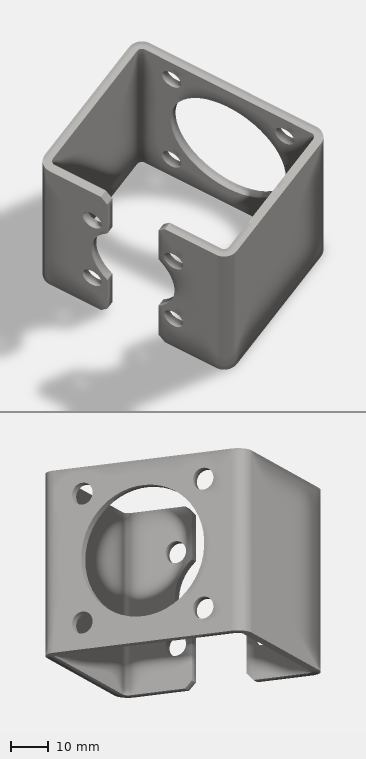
import cadquery as cq
import math

width = 60.0
depth = 50.0
height = 50.0

sheet_thickness = 2.5
bend_outer_radius = 4.0
bend_inner_radius = bend_outer_radius - sheet_thickness

gap_width = 16.0
flange_corner_chamfer = 2.0

front_bore_diameter = 26.0
back_bore_diameter = 36.0

screw_hole_diameter = 6.0
front_bolt_circle_diameter = 36.0
back_bolt_circle_diameter = 50.0

front_wall_y = -depth / 2
back_wall_y = depth / 2 - sheet_thickness


def rounded_block(size_x, size_y, corner_radius):
    """Full-height block with rounded vertical edges, centred on the origin."""
    return cq.Workplane("XY").box(size_x, size_y, height).edges("|Z").fillet(corner_radius)


def folded_sheet():
    """Rectangular tube of constant wall thickness with rounded bends."""
    outer = rounded_block(width, depth, bend_outer_radius)
    inner = rounded_block(
        width - 2 * sheet_thickness,
        depth - 2 * sheet_thickness,
        bend_inner_radius,
    )
    return outer.cut(inner)


def wall_plane(wall_y):
    """Sketch plane on the -Y side of a wall; its normal points toward -Y."""
    return cq.Workplane("XZ", origin=(0, wall_y, 0))


def flange_gap():
    """Cutter that splits the front wall and chamfers the free flange corners."""
    half_gap = gap_width / 2
    half_mouth = half_gap + flange_corner_chamfer
    half_height = height / 2
    chamfer_start = half_height - flange_corner_chamfer
    outline = [
        (-half_mouth, half_height),
        (half_mouth, half_height),
        (half_gap, chamfer_start),
        (half_gap, -chamfer_start),
        (half_mouth, -half_height),
        (-half_mouth, -half_height),
        (-half_gap, -chamfer_start),
        (-half_gap, chamfer_start),
    ]
    return wall_plane(front_wall_y).polyline(outline).close().extrude(-sheet_thickness)


def hole_pattern(wall_y, bore_diameter, bolt_circle_diameter):
    """Cutter for a central opening with four screw holes on its diagonals."""
    hole_spacing = bolt_circle_diameter / math.sqrt(2)
    bore = wall_plane(wall_y).circle(bore_diameter / 2).extrude(-sheet_thickness)
    screw_holes = (
        wall_plane(wall_y)
        .rect(hole_spacing, hole_spacing, forConstruction=True)
        .vertices()
        .circle(screw_hole_diameter / 2)
        .extrude(-sheet_thickness)
    )
    return bore.union(screw_holes)


result = (
    folded_sheet()
    .cut(flange_gap())
    .cut(hole_pattern(front_wall_y, front_bore_diameter, front_bolt_circle_diameter))
    .cut(hole_pattern(back_wall_y, back_bore_diameter, back_bolt_circle_diameter))
)